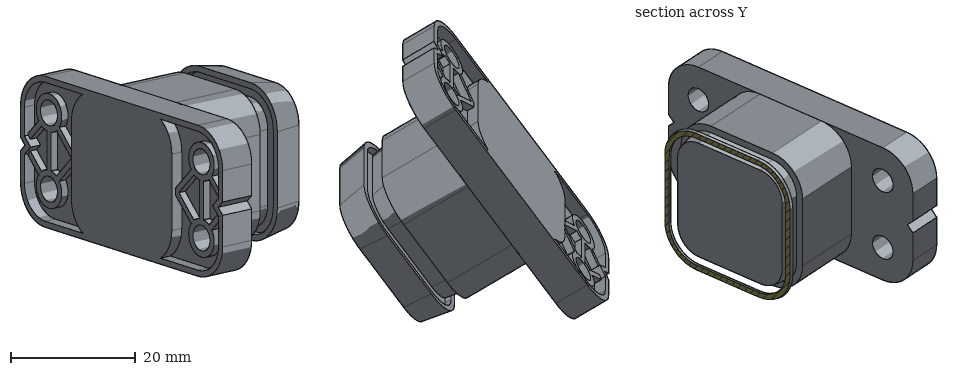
import cadquery as cq
import math

length = 50.5
height = 25.1
corner_radius = 6.2
flange_thick = 6.05
wall = 1.0
pocket_depth = 2.05
web_setback = 0.75
hole_radius = 2.1
boss_radius = 3.2
notch_depth = 1.1

block_end = 18.45
neck_half = 11.3
neck_end = 21.45

lip_half = 13.1
lip_start = 21.55
total_depth = 26.85
recess_depth = 1.0
draft = 10.0

corner_x = length / 2 - corner_radius
corner_z = height / 2 - corner_radius


def plane_at(y):
    """Section plane facing +Y, with its origin on the central axis."""
    return cq.Workplane(cq.Plane((0, y, 0), (1, 0, 0), (0, 1, 0)))


def rounded_prism(width, tall, radius, y_start, y_end, taper=0.0):
    profile = cq.Sketch().rect(width, tall).vertices().fillet(radius)
    return plane_at(y_start).placeSketch(profile).extrude(y_end - y_start, taper=taper)


def square_prism(half, y_start, y_end, taper=0.0):
    return rounded_prism(2 * half, 2 * half, half - corner_z, y_start, y_end, taper)


def diamond(x, half_diagonal, y_start, y_end):
    profile = plane_at(y_start).center(x, 0).polygon(4, 2 * half_diagonal)
    return profile.extrude(y_end - y_start)


def cylinders(radius, y_start, y_end):
    """One cylinder on each of the four corner centres of the flange."""
    centres = plane_at(y_start).rect(2 * corner_x, 2 * corner_z, forConstruction=True).vertices()
    return centres.circle(radius).extrude(y_end - y_start)


def ribs(x):
    """Diamond frame with corners through the two bosses at x, and the upright rib between them."""
    half_rib_diagonal = wall / math.sqrt(2)
    outer = diamond(x, corner_z + half_rib_diagonal, web_setback, pocket_depth)
    inner = diamond(x, corner_z - half_rib_diagonal, web_setback, pocket_depth)
    upright = plane_at(web_setback).center(x, 0).rect(wall, 2 * corner_z)
    return outer.cut(inner).union(upright.extrude(pocket_depth - web_setback))


def end_pockets():
    """Material removed from the flange face, around the solid middle, bosses, ribs and notch rims."""
    pocket = rounded_prism(length - 2 * wall, height - 2 * wall, corner_radius - wall, 0, pocket_depth)
    pocket = pocket.cut(square_prism(height / 2, 0, pocket_depth))
    pocket = pocket.cut(cylinders(boss_radius, web_setback, pocket_depth))
    for side in (-1, 1):
        pocket = pocket.cut(ribs(side * corner_x))
        notch_rim = diamond(side * length / 2, notch_depth + wall * math.sqrt(2), 0, pocket_depth)
        pocket = pocket.cut(notch_rim)
    return pocket


def make_flange():
    body = rounded_prism(length, height, corner_radius, 0, flange_thick)
    body = body.cut(end_pockets()).cut(cylinders(hole_radius, 0, flange_thick))
    for side in (-1, 1):
        body = body.cut(diamond(side * length / 2, notch_depth, 0, flange_thick))
    return body


def make_block():
    body = square_prism(height / 2, flange_thick, block_end)
    return body.union(square_prism(neck_half, block_end, neck_end, draft))


def make_cap():
    body = square_prism(lip_half, lip_start, total_depth, draft)
    return body.cut(square_prism(lip_half - wall, lip_start, lip_start + recess_depth, draft))


flange = make_flange()
block = make_block()
cap = make_cap()
result = cq.Compound.makeCompound([flange.val(), block.val(), cap.val()])